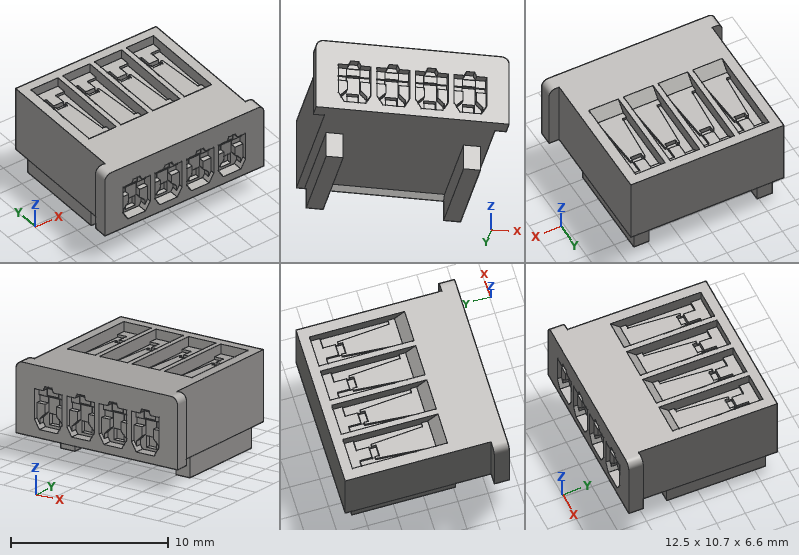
import cadquery as cq


HOUSING_WIDTH = 11.05
LENGTH = 10.7
HEIGHT = 4.88
FLANGE_WIDTH = 12.5
FLANGE_THICKNESS = 1.01
FLANGE_RADIUS = 0.5

LEG_OUTER = 5.0
LEG_WIDTH = 1.1
LEG_DEPTH = 1.72
LEG_FRONT = 3.21
LEG_BACK = 10.11
WEDGE_DEPTH = 0.32
WEDGE_FRONT = LEG_BACK - WEDGE_DEPTH

CONTACT_COUNT = 4
PITCH = 2.5

CAVITY_WIDTH = 2.12
CAVITY_FLOOR_WIDTH = 1.38
CAVITY_FLOOR = 0.58
CAVITY_CHAMFER_TOP = 1.21
CAVITY_TOP = 3.26
KEY_WIDTH = 0.81
KEY_TOP_WIDTH = 0.52
KEY_TOP = 3.56
CAVITY_DEPTH = 0.7
RECESS_DEPTH = 0.56
UPPER_WALL_DEPTH = 0.51
SHOULDER_WALL_DEPTH = 0.64
OVERHANG_Z = 2.71
BLOCK_FRONT = 0.29
BLOCK_TOP = 2.25
BLOCK_BOTTOM = 1.62
BLOCK_BEVEL_BOTTOM = 1.2
BLOCK_OPENING = 1.7
SLOT_WIDTH = 0.86
RECESS_BOTTOM = 2.78
PIN_SIZE = 0.78
PIN_BOTTOM = 0.76
PIN_DEPTH = 1.02

POCKET_BACK = 0.69
POCKET_FRONT = 7.0
POCKET_FLOOR = 4.04
LATCH_TOP = 4.21
PLATE_FRONT = 1.39
TONGUE_WIDTH = 0.75
TONGUE_FRONT = 2.21
LANCE_BACK = 2.4
LANCE_BACK_WIDTH = 1.04
LANCE_FRONT = 5.9
LANCE_FRONT_WIDTH = 1.56
NOTCH_FRONT = 2.69
NOTCH_FLOOR = 3.9
RAMP_BACK = 6.32


def block(width, y_front, y_back, z_low, z_high):
    """Box centred on X."""
    return cq.Workplane("XY").box(
        width, y_back - y_front, z_high - z_low, centered=(True, False, False)
    ).translate((0, y_front, z_low))


def mirrored_prism(half_outline, y_front, y_back):
    """Extrude along Y an XZ outline given by its +X half, bottom to top."""
    left_half = [(-x, z) for x, z in reversed(half_outline)]
    prism = cq.Workplane("XZ").polyline(half_outline + left_half).close().extrude(-(y_back - y_front))
    return prism.translate((0, y_front, 0))


def make_shell():
    housing = block(HOUSING_WIDTH, 0, LENGTH, 0, HEIGHT)
    flange = block(FLANGE_WIDTH, 0, FLANGE_THICKNESS, 0, HEIGHT)
    flange = flange.edges("|Y and >Z").fillet(FLANGE_RADIUS)
    return housing.union(flange)


def make_legs():
    leg_center = LEG_OUTER - LEG_WIDTH / 2
    leg = block(LEG_WIDTH, LEG_FRONT, LEG_BACK, -LEG_DEPTH, 0)
    wedge = (
        cq.Workplane("YZ")
        .polyline([(WEDGE_FRONT, 0), (LENGTH, 0), (LEG_BACK, -WEDGE_DEPTH)])
        .close()
        .extrude(LEG_OUTER, both=True)
    )
    return wedge.union(leg.translate((leg_center, 0, 0))).union(leg.translate((-leg_center, 0, 0)))


def make_cavity():
    """Front opening with a key on top, side blocks and a blind pin hole."""
    half_width = CAVITY_WIDTH / 2
    mouth = [
        (CAVITY_FLOOR_WIDTH / 2, CAVITY_FLOOR),
        (half_width, CAVITY_CHAMFER_TOP),
        (half_width, CAVITY_TOP),
        (KEY_WIDTH / 2, CAVITY_TOP),
        (KEY_TOP_WIDTH / 2, KEY_TOP),
    ]
    floor_slope = (half_width - CAVITY_FLOOR_WIDTH / 2) / (CAVITY_CHAMFER_TOP - CAVITY_FLOOR)
    opening_half = BLOCK_OPENING / 2
    opening_low = CAVITY_FLOOR + (opening_half - CAVITY_FLOOR_WIDTH / 2) / floor_slope
    channel = [
        (CAVITY_FLOOR_WIDTH / 2, CAVITY_FLOOR),
        (opening_half, opening_low),
        (opening_half, BLOCK_BEVEL_BOTTOM),
        (SLOT_WIDTH / 2, BLOCK_BOTTOM),
        (SLOT_WIDTH / 2, OVERHANG_Z),
    ]
    cavity = mirrored_prism(mouth, 0, BLOCK_FRONT)
    upper = mirrored_prism(mouth, 0, UPPER_WALL_DEPTH)
    cavity = cavity.union(upper.intersect(block(CAVITY_WIDTH, 0, UPPER_WALL_DEPTH, BLOCK_TOP, KEY_TOP)))
    cavity = cavity.union(block(CAVITY_WIDTH, 0, SHOULDER_WALL_DEPTH, BLOCK_TOP, OVERHANG_Z))
    cavity = cavity.union(mirrored_prism(channel, 0, CAVITY_DEPTH))
    cavity = cavity.union(block(SLOT_WIDTH, BLOCK_FRONT, RECESS_DEPTH, RECESS_BOTTOM, CAVITY_TOP))
    return cavity.union(block(PIN_SIZE, 0, PIN_DEPTH, PIN_BOTTOM, PIN_BOTTOM + PIN_SIZE))


def make_pocket():
    """Top window with a ramped front end, around a tongue plate and a lance."""
    profile = [
        (LENGTH - POCKET_BACK, HEIGHT),
        (LENGTH - POCKET_FRONT, HEIGHT),
        (LENGTH - RAMP_BACK, LATCH_TOP),
        (LENGTH - POCKET_BACK, LATCH_TOP),
    ]
    window = cq.Workplane("YZ").polyline(profile).close().extrude(CAVITY_WIDTH / 2, both=True)
    gap = block(CAVITY_WIDTH, LENGTH - LANCE_FRONT, LENGTH - PLATE_FRONT, POCKET_FLOOR, LATCH_TOP)
    tongue = block(TONGUE_WIDTH, LENGTH - TONGUE_FRONT, LENGTH - PLATE_FRONT, POCKET_FLOOR, LATCH_TOP)
    lance_outline = [
        (LANCE_FRONT_WIDTH / 2, LENGTH - LANCE_FRONT),
        (LANCE_BACK_WIDTH / 2, LENGTH - LANCE_BACK),
        (-LANCE_BACK_WIDTH / 2, LENGTH - LANCE_BACK),
        (-LANCE_FRONT_WIDTH / 2, LENGTH - LANCE_FRONT),
    ]
    lance = (
        cq.Workplane("XY", origin=(0, 0, POCKET_FLOOR))
        .polyline(lance_outline)
        .close()
        .extrude(LATCH_TOP - POCKET_FLOOR)
    )
    notch = block(TONGUE_WIDTH, LENGTH - NOTCH_FRONT, LENGTH - TONGUE_FRONT, NOTCH_FLOOR, LATCH_TOP)
    return window.union(gap.cut(tongue).cut(lance)).union(notch)


contact_positions = [(i - (CONTACT_COUNT - 1) / 2) * PITCH for i in range(CONTACT_COUNT)]
contact_void = [make_cavity(), make_pocket()]

result = make_shell().union(make_legs())
for x_position in contact_positions:
    for void in contact_void:
        result = result.cut(void.translate((x_position, 0, 0)))